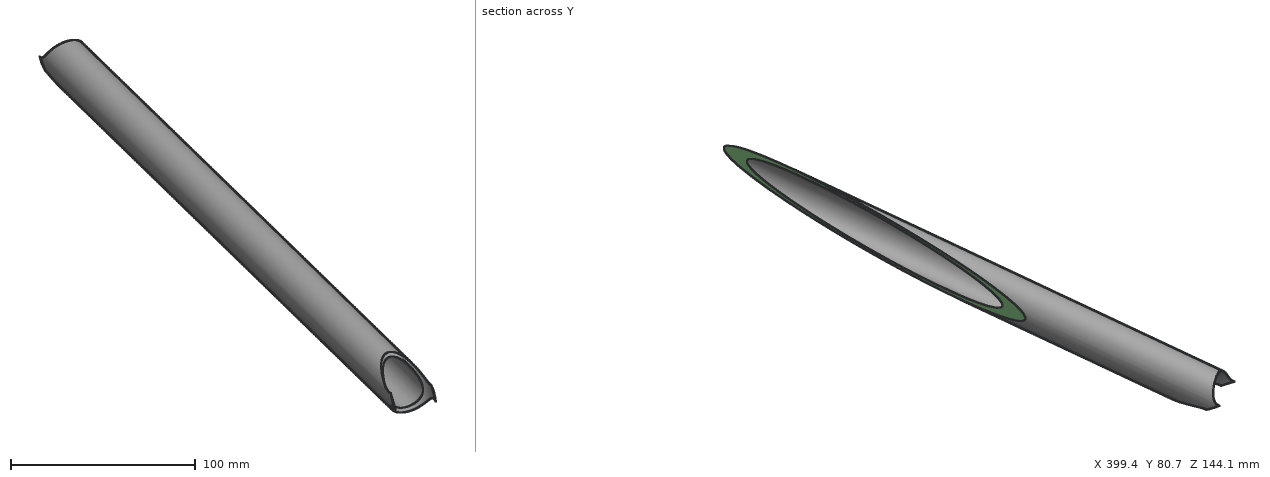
import cadquery as cq
import math

OUTER_RADIUS = 12.8
WALL = 2.0
AXIS_YAW = 8.1
AXIS_PITCH = 19.3
RISE_Y = math.tan(math.radians(AXIS_YAW))
RISE_Z = math.tan(math.radians(AXIS_PITCH))
BLANK_LENGTH = 520.0

COPE_RADIUS = 12.5
UPPER_COPE_X = 190.8
LOWER_COPE_X = -196.8
UPPER_TRIM_GAP = 1.5
LOWER_TRIM_GAP = 0.5
COPE_PITCH = -28.0
UPPER_COPE_YAW = -3.0
LOWER_COPE_YAW = 4.0
COPE_LENGTH = 240.0

tube_axis = cq.Vector(1, RISE_Y, RISE_Z).normalized()


def centred_rod(centre, direction, radius, length):
    """Solid round rod with its middle at centre."""
    start = centre - direction * (length / 2)
    return cq.Solid.makeCylinder(radius, length, start, direction)


def axis_point(x):
    """Point on the tube axis at the given X."""
    return cq.Vector(x, RISE_Y * x, RISE_Z * x)


def cope_cutter(x, yaw, outward, trim_gap):
    """Crossing rod at x, joined to a block that trims the side tips trim_gap past its axis."""
    pitch = math.radians(COPE_PITCH)
    yaw = math.radians(yaw)
    direction = cq.Vector(
        math.cos(pitch) * math.cos(yaw),
        math.cos(pitch) * math.sin(yaw),
        math.sin(pitch),
    )
    centre = axis_point(x)
    rod = centred_rod(centre, direction, COPE_RADIUS, COPE_LENGTH)
    sideways = direction.cross(tube_axis).normalized()
    beyond = sideways.cross(direction) * outward
    slab_plane = cq.Plane(origin=centre + beyond * trim_gap, xDir=direction, normal=beyond)
    slab = cq.Workplane(slab_plane).rect(COPE_LENGTH, COPE_LENGTH).extrude(COPE_LENGTH)
    return slab.union(cq.Workplane(obj=rod))


tube_centre = axis_point(0)
outside = cq.Workplane(obj=centred_rod(tube_centre, tube_axis, OUTER_RADIUS, BLANK_LENGTH))
bore = cq.Workplane(obj=centred_rod(tube_centre, tube_axis, OUTER_RADIUS - WALL, BLANK_LENGTH))

result = (
    outside.cut(bore)
    .cut(cope_cutter(UPPER_COPE_X, UPPER_COPE_YAW, 1, UPPER_TRIM_GAP))
    .cut(cope_cutter(LOWER_COPE_X, LOWER_COPE_YAW, -1, LOWER_TRIM_GAP))
)